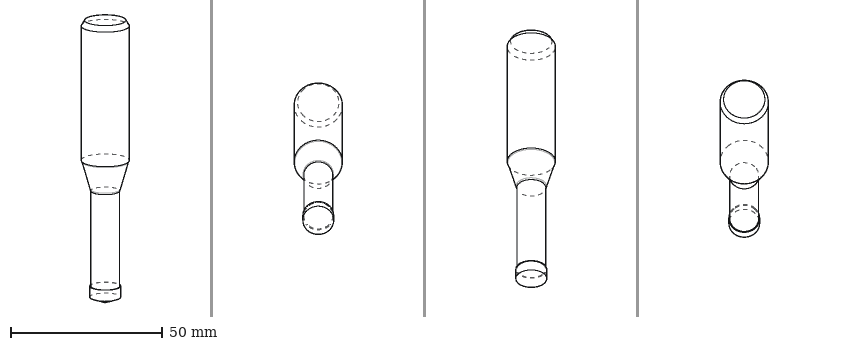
import cadquery as cq

total_length = 96.9

shank_radius = 16.0 / 2
shank_bottom = 48.8
top_chamfer_height = 1.9
top_chamfer_width = 1.2

shoulder_top_radius = 7.75
shoulder_top = 48.4
shoulder_bottom_radius = 5.0
shoulder_bottom = 38.95

neck_radius = 9.6 / 2
neck_top = 38.4

head_radius = 10.3 / 2
head_top = 5.7
point_height = 1.9


def revolve_profile(points):
    """Revolve a closed outline of (radius, height) points about the Z axis."""
    outline = cq.Workplane("XZ").polyline(points).close()
    return outline.revolve(360, (0, 0), (0, 1))


def make_holder():
    """Chamfered shank, tapered shoulder and neck, ending flat on the head."""
    return revolve_profile([
        (0, head_top),
        (neck_radius, head_top),
        (neck_radius, neck_top),
        (shoulder_bottom_radius, shoulder_bottom),
        (shoulder_top_radius, shoulder_top),
        (shank_radius, shank_bottom),
        (shank_radius, total_length - top_chamfer_height),
        (shank_radius - top_chamfer_width, total_length),
        (0, total_length),
    ])


def make_cutting_head():
    """Short cylinder, slightly wider than the neck, with a shallow point."""
    return revolve_profile([
        (0, 0),
        (head_radius, point_height),
        (head_radius, head_top),
        (0, head_top),
    ])


holder = make_holder()
cutting_head = make_cutting_head()

result = cq.Compound.makeCompound([holder.val(), cutting_head.val()])